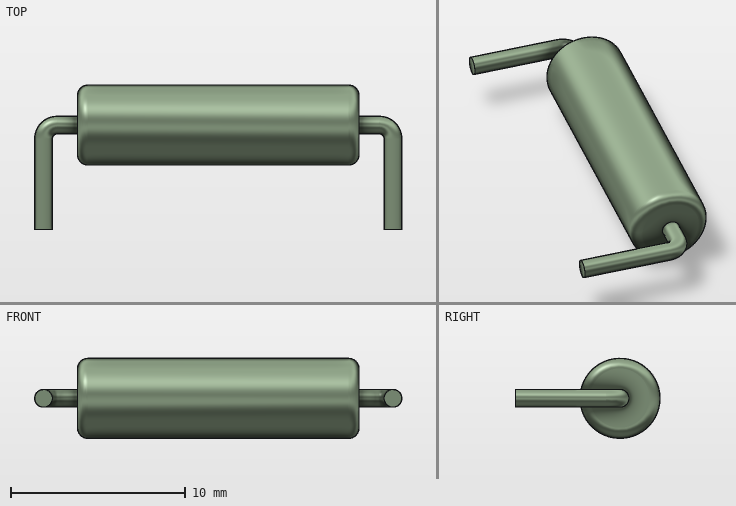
import cadquery as cq

body_length = 16.15
body_diameter = 4.6
body_edge_radius = 0.6

overall_length = 21.06
wire_diameter = 1.02
bend_radius = 0.79
lead_reach = 6.0

lead_x = (overall_length - wire_diameter) / 2
bend_start_x = lead_x - bend_radius
body_end_x = body_length / 2


def make_body():
    """Solid cylinder with rounded end edges, centred on the origin."""
    cylinder = (
        cq.Workplane("YZ", origin=(-body_end_x, 0, 0))
        .circle(body_diameter / 2)
        .extrude(body_length)
    )
    return cylinder.edges("%CIRCLE").fillet(body_edge_radius)


def make_right_lead():
    """Wire leaving the +X end of the body and turning toward -Y."""
    stub = (
        cq.Workplane("YZ", origin=(body_end_x, 0, 0))
        .circle(wire_diameter / 2)
        .extrude(bend_start_x - body_end_x)
    )
    bend = (
        cq.Workplane("YZ", origin=(bend_start_x, 0, 0))
        .circle(wire_diameter / 2)
        .revolve(90, (-bend_radius, 1), (-bend_radius, 0))
    )
    leg = (
        cq.Workplane("XZ", origin=(lead_x, -bend_radius, 0))
        .circle(wire_diameter / 2)
        .extrude(lead_reach - bend_radius)
    )
    return stub.union(bend).union(leg)


right_lead = make_right_lead()
left_lead = right_lead.mirror("YZ")
result = make_body().union(right_lead).union(left_lead)